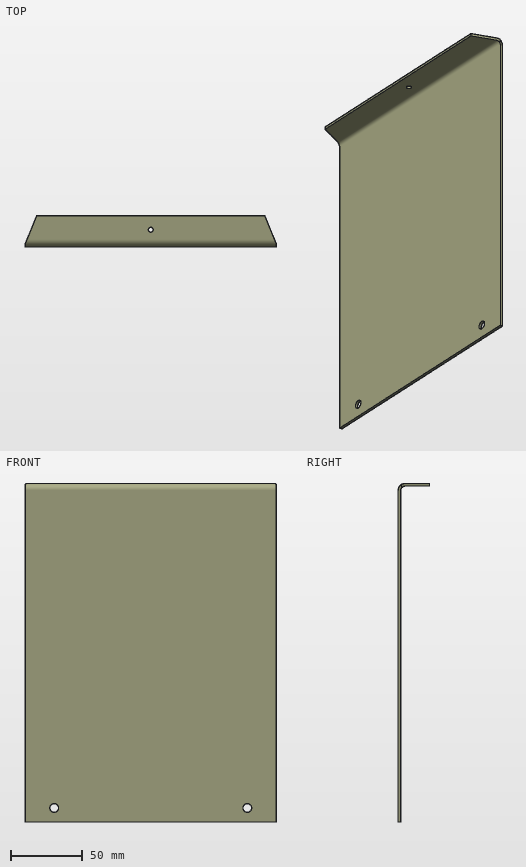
import cadquery as cq

width = 174.9
depth = 22.0
height = 236.0

thickness = 2.0
bend_outer_radius = 5.0
bend_inner_radius = bend_outer_radius - thickness

taper_inset = 8.0
taper_start = 2.4

flange_hole_diameter = 3.3
flange_hole_y = 12.0
panel_hole_diameter = 6.0
panel_hole_spacing = 134.5
panel_hole_z = 10.0


def bent_sheet():
    """Upright panel with a flange folded back along its top edge."""
    blank = cq.Workplane("YZ").rect(depth, height, centered=False).extrude(width / 2, both=True)
    blank = blank.edges("|X and <Y and >Z").fillet(bend_outer_radius)
    inner_space = (
        cq.Workplane("YZ")
        .moveTo(thickness, 0)
        .rect(depth, height - thickness, centered=False)
        .extrude(width, both=True)
        .edges("|X and <Y and >Z")
        .fillet(bend_inner_radius)
    )
    return blank.cut(inner_space)


def plan_outline():
    """Prism whose rear corners slope inward to taper the flange."""
    half_front = width / 2
    half_rear = half_front - taper_inset
    return (
        cq.Workplane("XY")
        .polyline([
            (-half_front, 0),
            (half_front, 0),
            (half_front, taper_start),
            (half_rear, depth),
            (-half_rear, depth),
            (-half_front, taper_start),
        ])
        .close()
        .extrude(height)
    )


def panel_holes():
    """Two holes through the panel near its bottom edge."""
    half_spacing = panel_hole_spacing / 2
    return (
        cq.Workplane("XZ")
        .pushPoints([(-half_spacing, panel_hole_z), (half_spacing, panel_hole_z)])
        .circle(panel_hole_diameter / 2)
        .extrude(-depth)
    )


def flange_hole():
    """Central hole through the top flange."""
    return (
        cq.Workplane("XY")
        .center(0, flange_hole_y)
        .circle(flange_hole_diameter / 2)
        .extrude(height)
    )


result = bent_sheet().intersect(plan_outline()).cut(panel_holes()).cut(flange_hole())